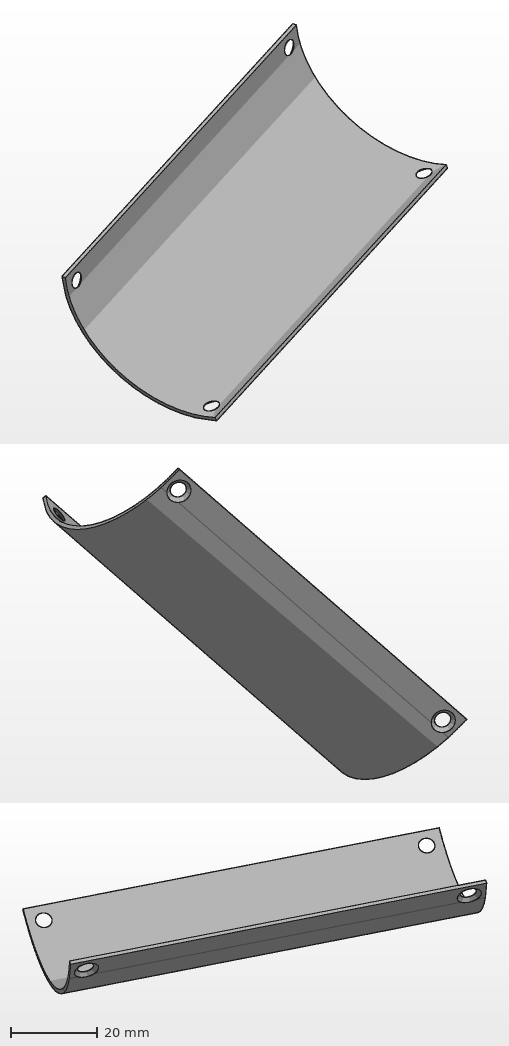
import cadquery as cq
import math

length = 100.0
outer_radius = 30.0
thickness = 1.0
inner_radius = outer_radius - thickness

left_edge_angle = 185.0
right_edge_angle = 295.0

flat_angle = 11.5
flat_radius = outer_radius * math.cos(math.radians(flat_angle / 2))

hole_diameter = 3.8
countersink_diameter = 5.8
countersink_depth = 0.8
hole_end_inset = 4.0
hole_edge_angle = 7.5
cutter_overrun = 2.0


def polar(radius, angle):
    """Point (x, z) at a radius and angle about the tube axis."""
    return (
        radius * math.cos(math.radians(angle)),
        radius * math.sin(math.radians(angle)),
    )


def make_shell():
    middle_angle = (left_edge_angle + right_edge_angle) / 2
    left_flat_end = left_edge_angle + flat_angle
    right_flat_end = right_edge_angle - flat_angle
    return (
        cq.Workplane("XZ")
        .moveTo(*polar(outer_radius, left_edge_angle))
        .lineTo(*polar(outer_radius, left_flat_end))
        .threePointArc(polar(outer_radius, middle_angle), polar(outer_radius, right_flat_end))
        .lineTo(*polar(outer_radius, right_edge_angle))
        .lineTo(*polar(inner_radius, right_edge_angle))
        .threePointArc(polar(inner_radius, middle_angle), polar(inner_radius, left_edge_angle))
        .close()
        .extrude(length / 2, both=True)
    )


def make_hole_cutter(angle, y):
    """Radial drill with a cone narrowing inward from the outer flat."""
    x, z = polar(flat_radius, angle)
    rim_center = cq.Vector(x, y, z)
    inward = cq.Vector(-x, 0, -z).normalized()
    hole_radius = hole_diameter / 2
    drill = cq.Solid.makeCylinder(
        hole_radius,
        thickness + 2 * cutter_overrun,
        rim_center - inward * cutter_overrun,
        inward,
    )
    countersink = cq.Solid.makeCone(
        countersink_diameter / 2, hole_radius, countersink_depth, rim_center, inward
    )
    rim_clearance = cq.Solid.makeCylinder(
        countersink_diameter / 2, cutter_overrun, rim_center, inward * -1
    )
    return drill.fuse(countersink, rim_clearance)


result = make_shell()
for hole_angle in (left_edge_angle + hole_edge_angle, right_edge_angle - hole_edge_angle):
    for end in (-1, 1):
        hole_y = end * (length / 2 - hole_end_inset)
        result = result.cut(cq.Workplane(make_hole_cutter(hole_angle, hole_y)))